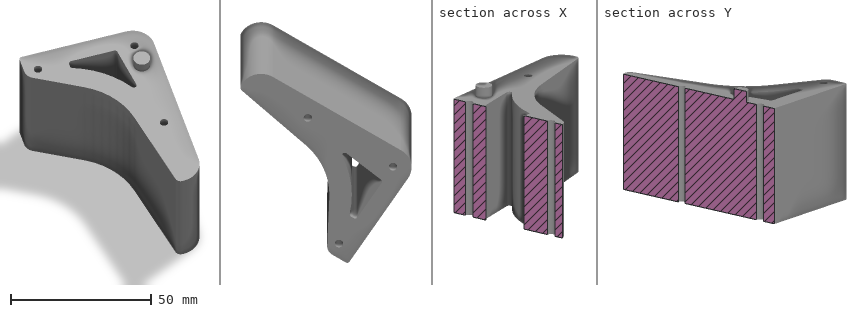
import cadquery as cq
import math

body_height = 43.0
edge_margin = 7.0
hole_spacing = 36.0
hole_diameter = 3.0
pin_diameter = 6.0
pin_height = 4.0
pin_offset = 9.0

overall_length = 70.09
overall_depth = 48.0
outer_corner_radius = 8.0
foot_left_radius = 1.0
foot_right_radius = 4.0
tip_radius = 2.0

curve_radius = 27.0
web_width = 8.0
foot_arm_angle = 60.0
tip_arm_angle = 11.0

window_back_y = -6.75
window_back_angle = 7.75
window_front_y = -24.7
window_corner_radius = 1.0

left_x = -edge_margin
right_x = left_x + overall_length
back_y = edge_margin
front_y = back_y - overall_depth
curve_center = (hole_spacing, -hole_spacing)
window_radius = curve_radius + web_width
hole_points = [(0, 0), (hole_spacing, 0), (0, -hole_spacing)]


def point_on_curve(radius, slope):
    """Point on a circle about the curve centre where its tangent rises at `slope` degrees."""
    angle = math.radians(slope + 90)
    return (
        curve_center[0] + radius * math.cos(angle),
        curve_center[1] + radius * math.sin(angle),
    )


def fillet_corner(solid, corner, radius):
    """Round the vertical edge that stands on the given (x, y) corner."""
    nearest = cq.selectors.NearestToPointSelector((*corner, body_height / 2))
    return solid.edges("|Z").edges(nearest).fillet(radius)


def make_body():
    """Bracket outline with both arms joined by the inner curve, extruded and rounded."""
    foot_tangent = point_on_curve(curve_radius, foot_arm_angle)
    tip_tangent = point_on_curve(curve_radius, tip_arm_angle)
    curve_middle = point_on_curve(curve_radius, (foot_arm_angle + tip_arm_angle) / 2)

    foot_run = (foot_tangent[1] - front_y) / math.tan(math.radians(foot_arm_angle))
    foot_right = (foot_tangent[0] - foot_run, front_y)
    tip_rise = (right_x - tip_tangent[0]) * math.tan(math.radians(tip_arm_angle))
    tip_front = (right_x, tip_tangent[1] + tip_rise)
    foot_left = (left_x, front_y)
    back_left = (left_x, back_y)
    back_right = (right_x, back_y)

    body = (
        cq.Workplane("XY")
        .moveTo(*foot_left)
        .lineTo(*foot_right)
        .lineTo(*foot_tangent)
        .threePointArc(curve_middle, tip_tangent)
        .lineTo(*tip_front)
        .lineTo(*back_right)
        .lineTo(*back_left)
        .close()
        .extrude(body_height)
    )
    rounded_corners = [
        (foot_left, foot_left_radius),
        (foot_right, foot_right_radius),
        (tip_front, tip_radius),
        (back_right, outer_corner_radius),
        (back_left, outer_corner_radius),
    ]
    for corner, radius in rounded_corners:
        body = fillet_corner(body, corner, radius)
    return body


def window_tip():
    """Point where the sloped back edge of the window meets its curved edge."""
    slope = math.tan(math.radians(window_back_angle))
    rise = window_back_y - curve_center[1]
    a = 1 + slope**2
    half_b = slope * rise - curve_center[0]
    c = curve_center[0] ** 2 + rise**2 - window_radius**2
    x = (-half_b - math.sqrt(half_b**2 - a * c)) / a
    return (x, window_back_y + slope * x)


def make_window():
    """Through window between the arms, bounded by the web's outer arc."""
    back_left = (0, window_back_y)
    front_left = (0, window_front_y)
    front_reach = math.sqrt(window_radius**2 - (window_front_y - curve_center[1]) ** 2)
    front_right = (curve_center[0] - front_reach, window_front_y)
    tip = window_tip()
    arc_middle = point_on_curve(window_radius, 45)

    window = (
        cq.Workplane("XY")
        .moveTo(*back_left)
        .lineTo(*front_left)
        .lineTo(*front_right)
        .threePointArc(arc_middle, tip)
        .close()
        .extrude(body_height)
    )
    return window.edges("|Z").fillet(window_corner_radius)


def make_screw_holes():
    """Through holes at the bend and along each arm."""
    return cq.Workplane("XY").pushPoints(hole_points).circle(hole_diameter / 2).extrude(body_height)


def make_pin():
    """Locating pin standing on the top face."""
    return (
        cq.Workplane("XY", origin=(pin_offset, 0, body_height))
        .circle(pin_diameter / 2)
        .extrude(pin_height)
    )


result = make_body().cut(make_window()).cut(make_screw_holes()).union(make_pin())